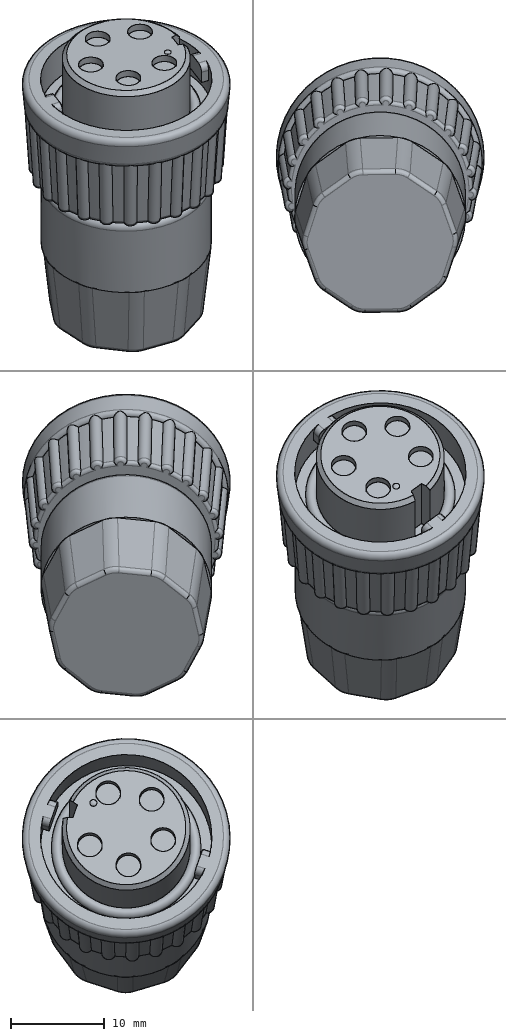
import cadquery as cq
import math

body_bottom = 8.8
body_top = 17.75
ring_bottom = 18.45
rim_bottom = 27.35
ring_top = 30.53
insert_top = 33.78
total_height = 33.88

facet_count = 10
facet_top_apothem = 8.85
facet_bottom_apothem = 8.0
grip_corner_radius = 2.68
grip_fillet = 0.5

body_radius = 9.1
body_fillet = 0.75
neck_radius = 7.8

rim_radius = 11.1
rim_bottom_radius = 10.9
rim_top_fillet = 0.7
cone_top_radius = 10.37
cone_bottom_radius = 9.85
rib_count = 24
rib_radius = 0.75
rib_sink = 0.25
ring_bottom_fillet = 0.4

socket_radius = 9.15
socket_depth = 4.05
socket_floor = ring_top - socket_depth
seal_radius = 7.4
seal_thickness = 1.22

lug_width = 2.9
lug_inner_radius = 8.2
lug_height = 2.1
lug_corner_radius = 0.75

insert_radius = 6.85
insert_chamfer = 0.47
keyway_floor_y = 5.75
keyway_inner_width = 1.45
keyway_outer_width = 2.17
contact_radius = 1.32
contact_depth = 0.8
lower_contact_circle = 4.17
upper_contact_circle = 4.35
lower_contact_angles = (202, 270, 338)
upper_contact_angles = (45, 135)
dot_x = 1.5
dot_y = 4.2
dot_radius = 0.37


def disc(radius, bottom, top):
    return cq.Workplane("XY").workplane(offset=bottom).circle(radius).extrude(top - bottom)


def polar(radius, angle):
    turn = math.radians(angle)
    return radius * math.cos(turn), radius * math.sin(turn)


def make_grip():
    """Tapered ten-sided grip with rounded corners and a rounded end."""
    corner_ratio = 1 / math.cos(math.pi / facet_count)
    return (
        cq.Workplane("XY")
        .polygon(facet_count, 2 * facet_bottom_apothem * corner_ratio)
        .workplane(offset=body_bottom)
        .polygon(facet_count, 2 * facet_top_apothem * corner_ratio)
        .loft(ruled=True)
        .rotate((0, 0, 0), (0, 0, 1), 180 / facet_count)
        .edges("not(<Z or >Z)")
        .fillet(grip_corner_radius)
        .faces("<Z")
        .edges()
        .fillet(grip_fillet)
    )


def make_body():
    body = disc(body_radius, body_bottom, body_top).faces(">Z").edges().fillet(body_fillet)
    return body.union(disc(neck_radius, body_top, ring_bottom))


def make_ribbed_cone():
    """Cone carrying evenly spaced round ribs that lie along its slope."""
    height = rim_bottom - ring_bottom
    cone = (
        cq.Workplane("XZ")
        .moveTo(0, ring_bottom)
        .lineTo(cone_bottom_radius, ring_bottom)
        .lineTo(cone_top_radius, rim_bottom)
        .lineTo(0, rim_bottom)
        .close()
        .revolve(360, (0, 0), (0, 1))
    )
    lean = math.degrees(math.atan((cone_top_radius - cone_bottom_radius) / height))
    rib = (
        cq.Workplane("XY")
        .circle(rib_radius)
        .extrude(height + 2 * rib_radius)
        .translate((0, 0, -rib_radius))
        .rotate((0, 0, 0), (0, 1, 0), lean)
        .intersect(disc(rim_radius, 0, height))
    )
    ribs = (
        cq.Workplane("XY")
        .workplane(offset=ring_bottom)
        .polarArray(cone_bottom_radius - rib_sink, 180 / rib_count, 360, rib_count)
        .eachpoint(rib)
    )
    ribbed_cone = cone.union(ribs)
    return ribbed_cone.faces("<Z").edges().fillet(ring_bottom_fillet)


def make_rim():
    """Rim above the ribs, rounded over at the top and where it meets the cone."""
    shoulder = ring_top - rim_top_fillet
    top_edge = rim_radius - rim_top_fillet
    top_bulge = rim_top_fillet * math.sqrt(0.5)
    lower_fillet = rim_bottom_radius - cone_top_radius
    lower_bulge = lower_fillet * math.sqrt(0.5)
    return (
        cq.Workplane("XZ")
        .moveTo(0, rim_bottom - lower_fillet)
        .lineTo(cone_top_radius, rim_bottom - lower_fillet)
        .threePointArc(
            (cone_top_radius + lower_bulge, rim_bottom - lower_bulge),
            (rim_bottom_radius, rim_bottom),
        )
        .lineTo(rim_radius, shoulder)
        .threePointArc((top_edge + top_bulge, shoulder + top_bulge), (top_edge, ring_top))
        .lineTo(0, ring_top)
        .close()
        .revolve(360, (0, 0), (0, 1))
    )


def cut_socket(ring):
    """Hollow the ring, leaving two lugs whose upper corners are rounded into the rim."""
    lug_depth = rim_radius - lug_inner_radius
    socket = disc(socket_radius, socket_floor, ring_top)
    for side in (1, -1):
        lug = (
            cq.Workplane("XY")
            .box(lug_width, lug_depth, lug_height)
            .edges("|Y and >Z")
            .fillet(lug_corner_radius)
            .translate((0, side * (lug_inner_radius + lug_depth / 2), ring_top - lug_height / 2))
        )
        socket = socket.cut(lug)
    return ring.cut(socket)


def make_insert():
    insert = disc(insert_radius, socket_floor, insert_top).faces(">Z").edges().chamfer(insert_chamfer)
    keyway = (
        cq.Workplane("XY")
        .workplane(offset=socket_floor)
        .polyline([
            (-keyway_inner_width / 2, keyway_floor_y),
            (keyway_inner_width / 2, keyway_floor_y),
            (keyway_outer_width / 2, insert_radius),
            (-keyway_outer_width / 2, insert_radius),
        ])
        .close()
        .extrude(insert_top - socket_floor)
    )
    centres = [polar(lower_contact_circle, angle) for angle in lower_contact_angles]
    centres += [polar(upper_contact_circle, angle) for angle in upper_contact_angles]
    contacts = (
        cq.Workplane("XY")
        .workplane(offset=insert_top - contact_depth)
        .pushPoints(centres)
        .circle(contact_radius)
        .extrude(contact_depth)
    )
    return insert.cut(keyway).cut(contacts)


def make_dot():
    """Shallow domed mark on the end of the insert."""
    rise = total_height - insert_top
    ball_radius = (dot_radius**2 + rise**2) / (2 * rise)
    ball = cq.Workplane("XY").sphere(ball_radius).translate((dot_x, dot_y, total_height - ball_radius))
    return ball.intersect(disc(insert_radius, insert_top - rise, total_height))


seal = cq.Workplane("XY").add(
    cq.Solid.makeTorus(seal_radius, seal_thickness / 2, cq.Vector(0, 0, socket_floor), cq.Vector(0, 0, 1))
)
ring = cut_socket(make_ribbed_cone().union(make_rim()))
result = make_grip().union(make_body()).union(ring).union(seal).union(make_insert()).union(make_dot())